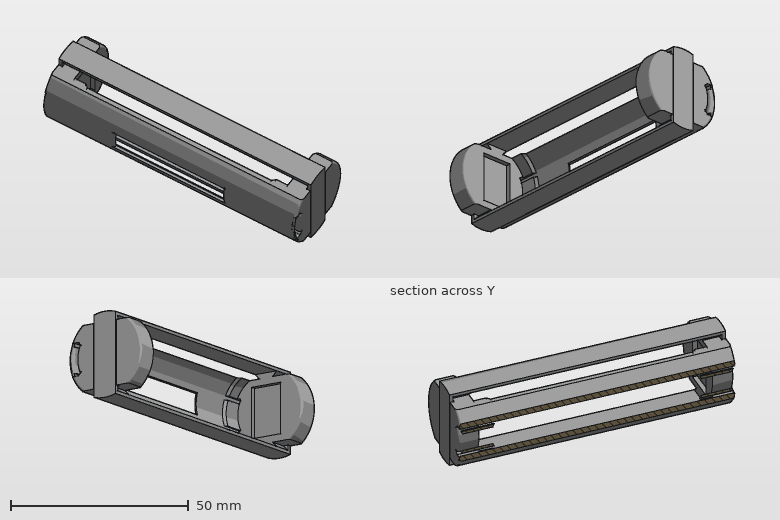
import cadquery as cq
import math

outer_radius = 12.55

band_length = 84.13
band_width = 7.5
band_end_thickness = 1.1
band_inner_half_height = 11.0

housing_length = 84.0
housing_half_height = 9.55
edge_radius = 0.75
lug_thickness = 6.45
bore_radius = 11.65
ledge_radius = 11.1
ledge_length = 3.8
ledge_taper_length = 1.0

groove_clearance = 0.2
groove_depth = 1.3

key_height = band_inner_half_height - housing_half_height

pocket_depth = 1.5
pocket_width = 10.0
pocket_height = 15.0

window_length = 36.2
window_height = 6.4
window_edge_radius = 0.85

slot_inner_radius = 9.8
slot_mouth_radius = 0.8
slot_height = 9.7
slot_corner = 1.1
lip_recess = 0.25

relief_radius = 11.65
latch_half_height = 3.8

end_x = housing_length / 2
lug_inner_x = end_x - lug_thickness
ledge_inner_x = lug_inner_x - ledge_length
bore_half_length = ledge_inner_x - ledge_taper_length
slot_half_height = slot_height / 2
lip_rim_radius = edge_radius - lip_recess
lip_crest_radius = outer_radius - lip_rim_radius
lip_edge_radius = lip_crest_radius - ledge_radius
mouth_inner_radius = slot_inner_radius - slot_mouth_radius
arc_mid = math.sqrt(0.5)


def box(x_range, y_range, z_range):
    """Axis-aligned box between the given limits."""
    size = [high - low for low, high in (x_range, y_range, z_range)]
    return cq.Workplane("XY").box(*size, centered=False).translate((x_range[0], y_range[0], z_range[0]))


def revolve_about_x(profile):
    """Revolve a closed profile drawn as (x, radius) a full turn about X."""
    return profile.close().revolve(360, (0, 0, 0), (1, 0, 0))


def mirrored_pair(shape):
    """The shape and its mirror image at the other end of the part."""
    return shape.union(shape.mirror("YZ"))


def round_bar(x_min, x_max):
    """Solid of revolution with both rims rounded."""
    rim = outer_radius - edge_radius
    inset = edge_radius * (1 - arc_mid)
    profile = (
        cq.Workplane("XY")
        .moveTo(x_min, 0)
        .lineTo(x_min, rim)
        .threePointArc((x_min + inset, outer_radius - inset), (x_min + edge_radius, outer_radius))
        .lineTo(x_max - edge_radius, outer_radius)
        .threePointArc((x_max - inset, outer_radius - inset), (x_max, rim))
        .lineTo(x_max, 0)
    )
    return revolve_about_x(profile)


def make_band():
    """Rectangular loop whose top and bottom follow the outer cylinder."""
    half_length = band_length / 2
    inner_x = half_length - band_end_thickness
    half_width = band_width / 2
    cylinder = cq.Workplane("YZ").circle(outer_radius).extrude(half_length, both=True)
    width = (-half_width, half_width)
    strip = box((-half_length, half_length), width, (-outer_radius, outer_radius))
    opening = box((-inner_x, inner_x), width, (-band_inner_half_height, band_inner_half_height))
    return cylinder.intersect(strip).cut(opening)


def make_cavity():
    """Bore along X that narrows to a ledge next to each lug."""
    profile = (
        cq.Workplane("XY")
        .moveTo(-lug_inner_x, 0)
        .lineTo(-lug_inner_x, ledge_radius)
        .lineTo(-ledge_inner_x, ledge_radius)
        .lineTo(-bore_half_length, bore_radius)
        .lineTo(bore_half_length, bore_radius)
        .lineTo(ledge_inner_x, ledge_radius)
        .lineTo(lug_inner_x, ledge_radius)
        .lineTo(lug_inner_x, 0)
    )
    return revolve_about_x(profile)


def make_keys():
    """Dovetail keys above and below each lug, widening towards the band."""
    top_half = band_width / 2
    base_half = top_half - key_height
    start_x = end_x - groove_depth
    key = (
        cq.Workplane("YZ", origin=(lug_inner_x, 0, 0))
        .moveTo(-base_half, housing_half_height)
        .lineTo(-top_half, band_inner_half_height)
        .lineTo(top_half, band_inner_half_height)
        .lineTo(base_half, housing_half_height)
        .close()
        .extrude(start_x - lug_inner_x)
    )
    return mirrored_pair(key.union(key.mirror("XY")))


def make_grooves():
    """Grooves across both end faces for the ends of the band."""
    half = band_width / 2 + groove_clearance
    groove = box((end_x - groove_depth, end_x), (-half, half), (-outer_radius, outer_radius))
    return mirrored_pair(groove)


def make_pockets():
    """Shallow pockets in the inner faces of the lugs."""
    pocket = box(
        (lug_inner_x, lug_inner_x + pocket_depth),
        (-pocket_width / 2, pocket_width / 2),
        (-pocket_height / 2, pocket_height / 2),
    )
    return mirrored_pair(pocket)


def slot_outline():
    """Prism along X with the end shape of one slot, chamfered at its two inner corners."""
    chamfer_z = slot_half_height - slot_corner
    corner_y = -math.sqrt(mouth_inner_radius**2 - chamfer_z**2)
    return (
        cq.Workplane("YZ", origin=(bore_half_length, 0, 0))
        .moveTo(-outer_radius, -slot_half_height)
        .lineTo(corner_y - slot_corner, -slot_half_height)
        .lineTo(corner_y, -chamfer_z)
        .lineTo(0, -chamfer_z)
        .lineTo(0, chamfer_z)
        .lineTo(corner_y, chamfer_z)
        .lineTo(corner_y - slot_corner, slot_half_height)
        .lineTo(-outer_radius, slot_half_height)
        .close()
        .extrude(end_x - bore_half_length)
    )


def make_slots():
    """Curved slots with a rounded mouth, a recessed round outer lip and two end reliefs."""
    inset = slot_mouth_radius * (1 - arc_mid)
    lip_x = end_x - lip_recess
    rim_inset = lip_rim_radius * (1 - arc_mid)
    lip_inset = lip_edge_radius * (1 - arc_mid)
    passage = (
        cq.Workplane("XY")
        .moveTo(lug_inner_x, slot_inner_radius)
        .lineTo(end_x - slot_mouth_radius, slot_inner_radius)
        .threePointArc((end_x - inset, slot_inner_radius - inset), (end_x, mouth_inner_radius))
        .lineTo(end_x, outer_radius)
        .lineTo(end_x - edge_radius, outer_radius)
        .threePointArc((lip_x - rim_inset, outer_radius - rim_inset), (lip_x, lip_crest_radius))
        .threePointArc((lip_x - lip_inset, ledge_radius + lip_inset), (lip_x - lip_edge_radius, ledge_radius))
        .lineTo(lug_inner_x, ledge_radius)
    )
    relief = (
        cq.Workplane("XY")
        .moveTo(bore_half_length, slot_inner_radius)
        .lineTo(end_x, slot_inner_radius)
        .lineTo(end_x, relief_radius)
        .lineTo(bore_half_length, relief_radius)
    )
    latch = box((bore_half_length, end_x), (-outer_radius, 0), (-latch_half_height, latch_half_height))
    outline = slot_outline()
    slot = revolve_about_x(passage).intersect(outline)
    reliefs = revolve_about_x(relief).intersect(outline).cut(latch)
    return mirrored_pair(slot.union(reliefs))


def make_window():
    """Window through the front shell, its two ends rounded towards the outer cylinder."""
    half = window_length / 2
    flare = half + window_edge_radius
    inset = window_edge_radius * (1 - arc_mid)
    straight_radius = outer_radius - window_edge_radius
    profile = (
        cq.Workplane("XY")
        .moveTo(-half, 0)
        .lineTo(-half, straight_radius)
        .threePointArc((-half - inset, outer_radius - inset), (-flare, outer_radius))
        .lineTo(flare, outer_radius)
        .threePointArc((half + inset, outer_radius - inset), (half, straight_radius))
        .lineTo(half, 0)
    )
    height = (-window_height / 2, window_height / 2)
    return revolve_about_x(profile).intersect(box((-flare, flare), (-outer_radius, 0), height))


def make_housing():
    """Front shell and two end lugs as one solid."""
    flats = (-housing_half_height, housing_half_height)
    length = (-end_x, end_x)
    front = round_bar(*length).intersect(box(length, (-outer_radius, 0), flats)).cut(make_cavity())
    lugs = mirrored_pair(round_bar(lug_inner_x, end_x)).intersect(box(length, (0, outer_radius), flats))
    body = front.union(lugs).union(make_keys())
    return body.cut(make_grooves()).cut(make_pockets()).cut(make_slots()).cut(make_window())


band = make_band()
housing = make_housing()

result = cq.Compound.makeCompound([band.val(), *housing.vals()])